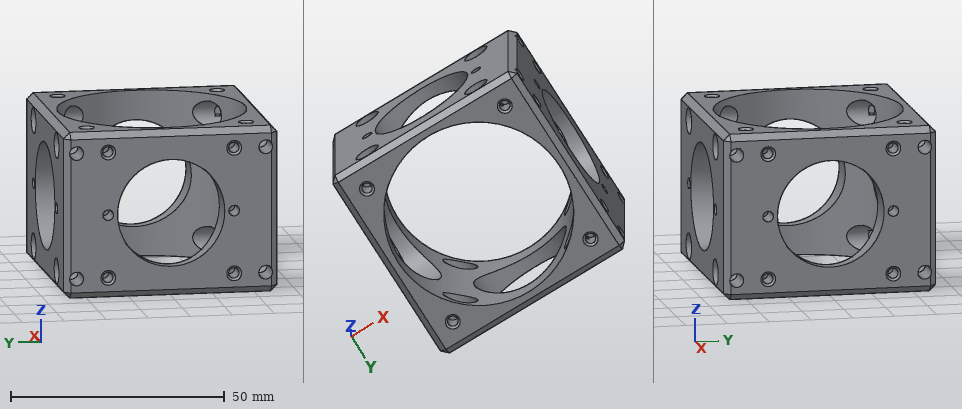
import cadquery as cq

WIDTH = 50.8
HEIGHT = 39.6
EDGE_CHAMFER = 1.5

VERTICAL_BORE_DIAMETER = 44.5
SIDE_BORE_DIAMETER = 25.5

ROD_DIAMETER = 6.1
ROD_OFFSET = 15.0

CLAMP_DIAMETER = 3.25
CLAMP_OFFSET_Y = 22.5
CLAMP_DEPTH = WIDTH / 2 - ROD_OFFSET

PLAIN_DIAMETER = 2.5
SCREW_DIAMETER = 2.45
SCREW_COUNTERSINK_DIAMETER = 3.5
COUNTERSINK_ANGLE = 90.0
BLIND_DEPTH = 6.0
TOP_SCREW_OFFSET = 19.0

SIGNS = (-1, 1)


def square_pattern(offset):
    """Four corner points at equal distances from both centre lines."""
    return [(a * offset, b * offset) for a in SIGNS for b in SIGNS]


def face_plane(direction):
    """Plane on one outer face, its local X axis along Y on the X faces and along X elsewhere."""
    x, y, z = direction
    origin = (x * WIDTH / 2, y * WIDTH / 2, z * HEIGHT / 2)
    horizontal = (0, 1, 0) if x else (1, 0, 0)
    return cq.Plane(origin=origin, xDir=horizontal, normal=direction)


def on_face(body, direction, points):
    """Workplane on the given face, carrying hole centres on the stack."""
    return cq.Workplane(face_plane(direction)).add(body).pushPoints(points)


def drill_plain(body, direction, points, diameter, depth=None):
    """Drill plain holes into one face; no depth means right through."""
    return on_face(body, direction, points).hole(diameter, depth)


def drill_screw_holes(body, direction, points):
    """Drill blind screw holes with a countersunk mouth into one face."""
    return on_face(body, direction, points).cskHole(
        SCREW_DIAMETER, SCREW_COUNTERSINK_DIAMETER, COUNTERSINK_ANGLE, BLIND_DEPTH
    )


centre = [(0, 0)]
rod_points = square_pattern(ROD_OFFSET)
top_points = square_pattern(TOP_SCREW_OFFSET)
plain_points = [(s * ROD_OFFSET, 0) for s in SIGNS]
clamp_points = [(a * CLAMP_OFFSET_Y, b * ROD_OFFSET) for a in SIGNS for b in SIGNS]

cube = cq.Workplane("XY").box(WIDTH, WIDTH, HEIGHT).edges().chamfer(EDGE_CHAMFER)
cube = drill_plain(cube, (0, 0, 1), centre, VERTICAL_BORE_DIAMETER)
cube = drill_plain(cube, (1, 0, 0), centre, SIDE_BORE_DIAMETER)
cube = drill_plain(cube, (0, 1, 0), centre, SIDE_BORE_DIAMETER)

cube = drill_plain(cube, (0, 1, 0), rod_points, ROD_DIAMETER)

for side in SIGNS:
    cube = drill_plain(cube, (side, 0, 0), clamp_points, CLAMP_DIAMETER, CLAMP_DEPTH)
    cube = drill_plain(cube, (side, 0, 0), plain_points, PLAIN_DIAMETER, BLIND_DEPTH)
    cube = drill_plain(cube, (0, side, 0), plain_points, PLAIN_DIAMETER, BLIND_DEPTH)
    cube = drill_screw_holes(cube, (side, 0, 0), rod_points)
    cube = drill_screw_holes(cube, (0, 0, side), top_points)

result = cube